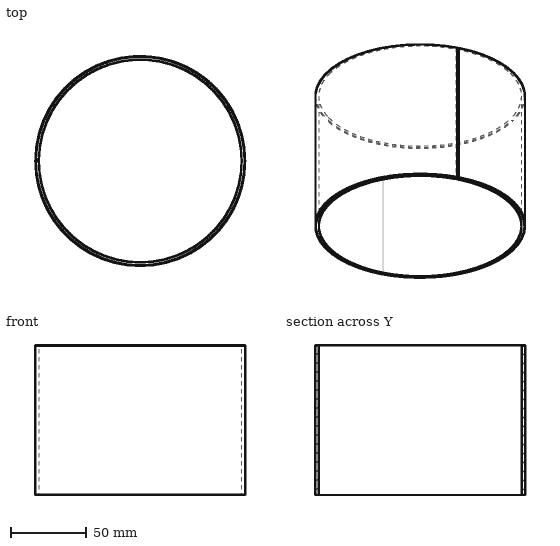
import cadquery as cq
import math

outer_diameter = 140.0
wall_thickness = 2.5
height = 100.0
outer_chamfer = 0.5
inner_chamfer = 0.2
slit_angle = 1.0
cutter_overrun = 10.0

outer_radius = outer_diameter / 2
inner_radius = outer_radius - wall_thickness


def make_sleeve():
    """Thin tube standing on Z = 0, its wall section chamfered at all four corners."""
    wall_section = (
        cq.Workplane("XZ")
        .moveTo(outer_radius - outer_chamfer, 0)
        .lineTo(outer_radius, outer_chamfer)
        .lineTo(outer_radius, height - outer_chamfer)
        .lineTo(outer_radius - outer_chamfer, height)
        .lineTo(inner_radius + inner_chamfer, height)
        .lineTo(inner_radius, height - inner_chamfer)
        .lineTo(inner_radius, inner_chamfer)
        .lineTo(inner_radius + inner_chamfer, 0)
        .close()
    )
    axis_start = (0, 0)
    axis_end = (0, height)
    return wall_section.revolve(360, axis_start, axis_end)


def make_slit_cutter():
    """Full-height wedge from the axis; it opens the wall at -X, on the +Y side of the XZ plane."""
    reach = outer_radius + cutter_overrun
    opening = reach * math.tan(math.radians(slit_angle))
    return (
        cq.Workplane("XY")
        .polyline([(0, 0), (-reach, 0), (-reach, opening)])
        .close()
        .extrude(height)
    )


result = make_sleeve().cut(make_slit_cutter())